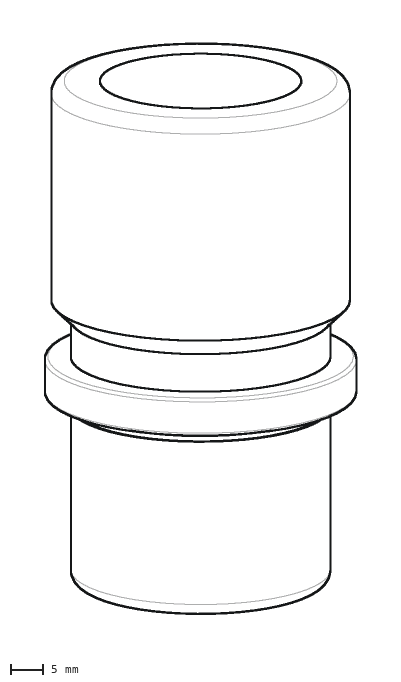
import cadquery as cq

total_height = 80.0
bore_radius = 15.5
body_radius = 20.0
head_radius = 23.0
flange_radius = 24.0

flange_bottom = 30.0
flange_height = 6.0
flange_top = flange_bottom + flange_height
flange_round = 0.5

neck_height = 6.0
neck_top = flange_top + neck_height
head_bottom = neck_top + (head_radius - body_radius)

groove_width = 2.0
groove_radius = 19.25
groove_taper_radius = 19.75
groove_taper_height = 0.7
groove_bottom = flange_bottom - groove_width

end_round = 2.0


def body_profile():
    """Half section of the sleeve, as (radius, height), before its rims are rounded."""
    return (
        cq.Workplane("XZ")
        .moveTo(bore_radius, 0)
        .lineTo(body_radius, 0)
        .lineTo(body_radius, groove_bottom)
        .lineTo(groove_taper_radius, groove_bottom)
        .lineTo(groove_radius, groove_bottom + groove_taper_height)
        .lineTo(groove_radius, flange_bottom)
        .lineTo(flange_radius, flange_bottom)
        .lineTo(flange_radius, flange_top)
        .lineTo(body_radius, flange_top)
        .lineTo(body_radius, neck_top)
        .lineTo(head_radius, head_bottom)
        .lineTo(head_radius, total_height)
        .lineTo(bore_radius, total_height)
        .close()
    )


def round_end_rims(sleeve):
    """Round the outer rim at each end, leaving the bore edges sharp."""
    for end in ("<Z", ">Z"):
        sleeve = sleeve.faces(end).edges(largest_circles).fillet(end_round)
    return sleeve


def round_flange(sleeve):
    """Round both rims of the flange, which are the largest circles on the sleeve."""
    return sleeve.edges("%CIRCLE").edges(largest_circles).fillet(flange_round)


largest_circles = cq.selectors.RadiusNthSelector(-1)
sleeve = body_profile().revolve(360, (0, 0, 0), (0, 1, 0))
result = round_flange(round_end_rims(sleeve))